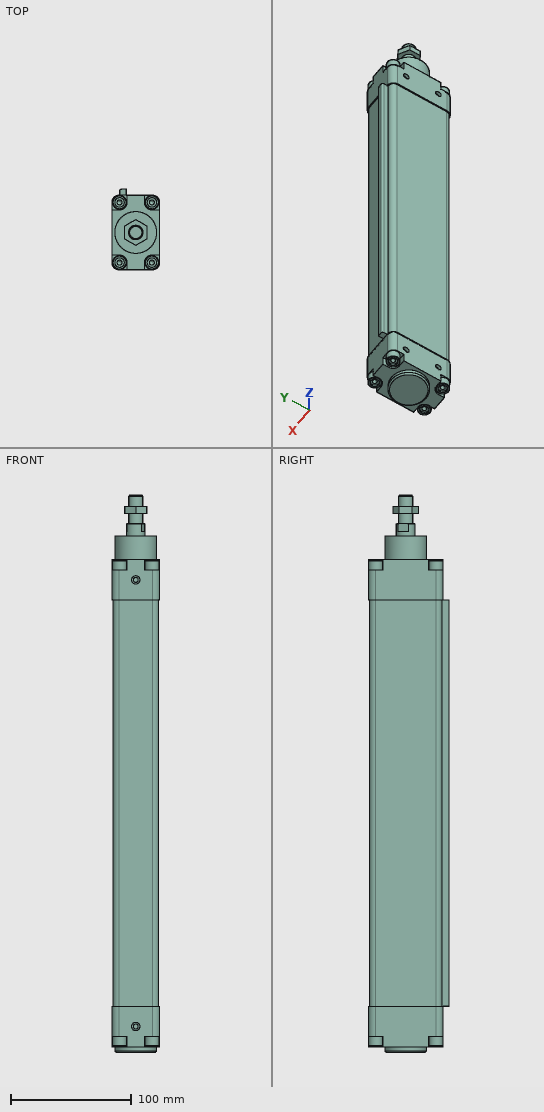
import cadquery as cq
import math

total_length = 464.5
boss_height = 4.5
cap_height = 34.0
front_cap_top = 411.0
collar_top = 430.5
rod_shoulder = 441.0

rear_cap_bottom = boss_height
rear_cap_top = rear_cap_bottom + cap_height
front_cap_bottom = front_cap_top - cap_height

cap_x = 40.0
cap_y = 62.2
cap_corner_radius = 6.0
barrel_x = 38.0
barrel_y = 60.5
barrel_corner_radius = 5.0
boss_diameter = 35.0
boss_chamfer = 1.5

rail_outer_y = 36.0
rail_width = 5.5
rail_center_x = -10.5
rail_corner_radius = 2.0

screw_x = 13.5
screw_y = 25.0
pocket_diameter = 12.5
pocket_depth = 9.0
head_diameter = 11.5
head_top_diameter = 10.5
head_recess = 1.0
socket_diameter = 8.0
socket_depth = 2.0
socket_tip_diameter = 4.15

hole_offset = 17.0
port_diameter = 7.0
port_depth = 3.5
port_bore_diameter = 4.15
port_bore_depth = 9.5
side_hole_diameter = 5.5
side_hole_depth = 3.0
side_hole_y = 16.3

rod_diameter = 16.0
thread_diameter = 12.0
thread_tip_diameter = 10.0
shoulder_chamfer = 0.5
flat_width = 13.0
flat_bottom = 434.5
flat_angle = -18.0

nut_across_flats = 18.5
nut_thickness = 6.0
nut_bottom = 449.0
nut_turn = 90.0


def rounded_block(size_x, size_y, corner_radius, bottom, top):
    """Upright block centred on the axis with rounded vertical edges."""
    block = cq.Workplane("XY", origin=(0, 0, bottom)).rect(size_x, size_y).extrude(top - bottom)
    return block.edges("|Z").fillet(corner_radius)


def disc(diameter, bottom, top):
    """Cylinder on the axis between two heights."""
    return cq.Workplane("XY", origin=(0, 0, bottom)).circle(diameter / 2).extrude(top - bottom)


def sensor_rail():
    """Rail along the barrel, rounded on its outer edge facing -X."""
    length = front_cap_bottom - rear_cap_top
    rail = cq.Workplane("XY", origin=(rail_center_x, rail_outer_y / 2, rear_cap_top))
    rail = rail.rect(rail_width, rail_outer_y).extrude(length)
    return rail.faces(">Y").edges("<X").fillet(rail_corner_radius)


def screw_pocket(sign_x, sign_y, end_face, inward):
    """Corner pocket: a round seat widened straight out to both sides of the cap."""
    reach = cap_x
    seat_radius = pocket_diameter / 2
    outline = (
        cq.Workplane("XY", origin=(sign_x * screw_x, sign_y * screw_y, end_face))
        .moveTo(0, -sign_y * seat_radius)
        .lineTo(sign_x * reach, -sign_y * seat_radius)
        .lineTo(sign_x * reach, sign_y * reach)
        .lineTo(-sign_x * seat_radius, sign_y * reach)
        .lineTo(-sign_x * seat_radius, 0)
        .threePointArc(
            (-sign_x * seat_radius * math.sqrt(0.5), -sign_y * seat_radius * math.sqrt(0.5)),
            (0, -sign_y * seat_radius),
        )
        .close()
    )
    return outline.extrude(inward * pocket_depth)


def screw_head(sign_x, sign_y, end_face, inward):
    """Socket head standing on the pocket floor, with a chamfered rim."""
    origin = (sign_x * screw_x, sign_y * screw_y, end_face + inward * head_recess)
    place = cq.Workplane("XY", origin=origin)
    head = place.circle(head_diameter / 2).extrude(inward * (pocket_depth - head_recess))
    head = head.faces("<Z" if inward > 0 else ">Z").chamfer((head_diameter - head_top_diameter) / 2)
    socket = place.circle(socket_diameter / 2).extrude(inward * socket_depth)
    tip_radius = socket_tip_diameter / 2
    dimple = cq.Solid.makeCone(
        tip_radius,
        0,
        tip_radius,
        pnt=cq.Vector(origin[0], origin[1], origin[2] + inward * socket_depth),
        dir=cq.Vector(0, 0, inward),
    )
    return head.cut(socket).cut(cq.Workplane(dimple))


def air_port(height):
    """Stepped port in the -Y face of a cap."""
    face = cq.Workplane("XZ", origin=(0, -cap_y / 2, height))
    opening = face.circle(port_diameter / 2).extrude(-port_depth)
    bore = face.circle(port_bore_diameter / 2).extrude(-port_bore_depth)
    return opening.union(bore)


def side_hole(y, height):
    """Blind hole with a conical end in the -X face of a cap."""
    radius = side_hole_diameter / 2
    tip_depth = side_hole_depth + radius
    profile = (
        cq.Workplane("XY", origin=(-cap_x / 2, y, height))
        .polyline([(0, 0), (0, radius), (side_hole_depth, radius), (tip_depth, 0)])
        .close()
    )
    return profile.revolve(360, (0, 0, 0), (1, 0, 0))


def make_housing():
    """Barrel, both end caps, collar, boss and sensor rail as one solid."""
    body = rounded_block(barrel_x, barrel_y, barrel_corner_radius, rear_cap_top, front_cap_bottom)
    body = body.union(sensor_rail())
    body = body.union(rounded_block(cap_x, cap_y, cap_corner_radius, rear_cap_bottom, rear_cap_top))
    body = body.union(rounded_block(cap_x, cap_y, cap_corner_radius, front_cap_bottom, front_cap_top))
    body = body.union(disc(boss_diameter, front_cap_top, collar_top))
    boss = disc(boss_diameter, 0, rear_cap_bottom).faces("<Z").chamfer(boss_chamfer)
    body = body.union(boss)

    for end_face, inward in ((front_cap_top, -1), (rear_cap_bottom, 1)):
        for sign_x in (-1, 1):
            for sign_y in (-1, 1):
                body = body.cut(screw_pocket(sign_x, sign_y, end_face, inward))
                body = body.union(screw_head(sign_x, sign_y, end_face, inward))
        hole_height = end_face + inward * hole_offset
        body = body.cut(air_port(hole_height))
        for y in (-side_hole_y, side_hole_y):
            body = body.cut(side_hole(y, hole_height))
    return body


def make_rod():
    """Piston rod end standing on the collar, with wrench flats and a thread."""
    shank = disc(rod_diameter, collar_top, rod_shoulder).faces(">Z").chamfer(shoulder_chamfer)
    flat_height = rod_shoulder - flat_bottom
    between_flats = (
        cq.Workplane("XY", origin=(0, 0, flat_bottom))
        .transformed(rotate=(0, 0, flat_angle))
        .rect(flat_width, 2 * rod_diameter)
        .extrude(flat_height)
    )
    below_flats = disc(rod_diameter, collar_top, flat_bottom)
    shank = shank.intersect(between_flats.union(below_flats))
    tip_chamfer = (thread_diameter - thread_tip_diameter) / 2
    thread = disc(thread_diameter, rod_shoulder, total_length).faces(">Z").chamfer(tip_chamfer)
    return shank.union(thread)


def make_nut():
    """Hexagon lock nut with two corners on the Y axis."""
    across_corners = nut_across_flats / math.cos(math.pi / 6)
    nut = (
        cq.Workplane("XY", origin=(0, 0, nut_bottom))
        .transformed(rotate=(0, 0, nut_turn))
        .polygon(6, across_corners)
        .extrude(nut_thickness)
    )
    return nut.cut(disc(thread_diameter, nut_bottom, nut_bottom + nut_thickness))


housing = make_housing()
rod = make_rod()
nut = make_nut()

result = cq.Compound.makeCompound([housing.val(), rod.val(), nut.val()])